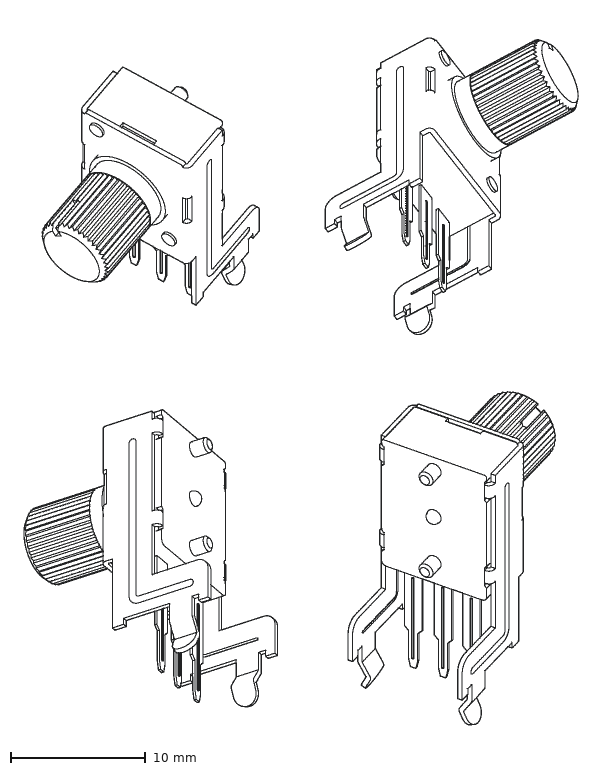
import cadquery as cq
import math


overall_width = 10.0
overall_height = 21.8
top_z = 5.5
lowest_z = top_z - overall_height

sheet = 0.4
bend_radius = 0.5
inner_bend_radius = bend_radius - sheet
rib_height = 0.1
frame_width = overall_width - 2 * rib_height
frame_half = frame_width / 2
inside_half = frame_half - sheet
bend_top_z = 5.3
face_bottom_z = -6.47
face_half = frame_half - bend_radius
face_corner_radius = 0.2
side_back_y = 4.5
window_height = 3.0

collar_diameter = 6.8
collar_length = 0.8
collar_fillet = 0.2

arm_front_y = 1.02
arm_back_y = 9.4
arm_top_z = -8.94
arm_bottom_z = -11.95
arm_corner_radius = 1.0
foot_bottom_z = -12.47
front_foot_end_y = 2.0
back_foot_start_y = 8.57

leg_y = 7.0
leg_width = 1.96
leg_bend_z = -13.45
leg_inward_angle = math.radians(32)
leg_outward_angle = math.radians(26)
leg_inward_length = 1.25

rib_y = 2.8
rib_z = -10.73
rib_top_z = 3.12
rib_back_y = 7.8
rib_bend_radius = 0.55
rib_outer_radius = sheet + rib_height
rib_groove_radius = 0.1

tab_z = 4.0
tab_height = 1.2
tab_grip = 0.2
tab_end_x = inside_half - tab_grip
recess_height = 2.0

housing_back_y = 5.1
housing_bottom_z = -6.23
housing_top_radius = 0.2
housing_bottom_radius = 0.4
notch_width = 3.0
notch_depth = 0.41
peg_diameter = 1.2
peg_z = 4.3
front_peg_x = 3.25
front_peg_places = [(-front_peg_x, peg_z), (front_peg_x, -peg_z)]
front_peg_height = 0.2
back_peg_length = 1.4
back_peg_chamfer = 0.2

shaft_diameter = 6.0
shaft_radius = shaft_diameter / 2
shaft_tip_y = -8.2
shaft_chamfer = 0.5
knurl_start_y = -2.15
knurl_teeth = 40
knurl_depth = 0.2
mark_angle = 36
mark_width = 0.6
mark_start_y = -5.19
mark_floor_radius = shaft_radius - shaft_chamfer
mark_tip_depth = 0.4
mark_tip_floor_radius = 2.0

terminal_pitch = 2.5
middle_terminal_front_y = 3.6
outer_terminal_front_y = 3.7
terminal_thickness = 0.2
terminal_width = 1.5
terminal_shoulder_z = -12.2
terminal_pin_width = 0.8
terminal_taper_z = -15.1
terminal_tip_width = 0.45
terminal_tip_z = -15.87
bead_width = 0.2
bead_height = 0.07
bead_top_z = -7.45
bead_bottom_z = -15.02


def block(x_range, y_range, z_range):
    """Box given by its limits along each axis."""
    size = [high - low for low, high in (x_range, y_range, z_range)]
    corner = cq.Vector(x_range[0], y_range[0], z_range[0])
    return cq.Workplane(cq.Solid.makeBox(*size, corner))


def cylinder_y(diameter, y_range, x=0, z=0):
    """Round bar along Y between two Y levels."""
    length = y_range[1] - y_range[0]
    start = cq.Vector(x, y_range[0], z)
    return cq.Workplane(cq.Solid.makeCylinder(diameter / 2, length, start, cq.Vector(0, 1, 0)))


def mirrored(body):
    """The body together with its mirror image on the other side of the YZ plane."""
    return body.union(body.mirror("YZ"))


def z_span(centre, height):
    return (centre - height / 2, centre + height / 2)




def frame_interior():
    """Space inside the folded sheet, with the inner bend radius on its upright edges."""
    room = block((-inside_half, inside_half), (sheet, housing_back_y - sheet), (face_bottom_z, bend_top_z))
    return room.edges("|Z").fillet(inner_bend_radius)


def folded_sleeve():
    """Sheet folded right round the housing, open at the top and the bottom."""
    outside = block((-frame_half, frame_half), (0, housing_back_y), (face_bottom_z, bend_top_z))
    return outside.edges("|Z").fillet(bend_radius).cut(frame_interior())


def crimp_tab(centre_z):
    """One tab on the +X side, bent in behind the housing."""
    region = block((tab_end_x, frame_half), (side_back_y, housing_back_y), z_span(centre_z, tab_height))
    return folded_sleeve().intersect(region)


def folded_cover():
    """Front face and two side plates, with the crimp tabs and the upright top edge of the face."""
    rear = block((-frame_half, frame_half), (side_back_y, housing_back_y), (face_bottom_z, bend_top_z))
    cover = folded_sleeve().cut(rear)
    for centre_z in (-tab_z, tab_z):
        cover = cover.union(mirrored(crimp_tab(centre_z)))
    face = block((-face_half, face_half), (0, sheet), (face_bottom_z, top_z))
    return cover.union(face.edges("|Y and >Z").fillet(face_corner_radius))


def side_arm():
    """Lower part of the +X side plate: upright strip, rearward arm, two feet and the leg root."""
    leg_front_y = leg_y - leg_width / 2
    leg_back_y = leg_y + leg_width / 2
    outline = [
        (arm_front_y, face_bottom_z),
        (arm_front_y, foot_bottom_z),
        (front_foot_end_y, foot_bottom_z),
        (front_foot_end_y, arm_bottom_z),
        (leg_front_y, arm_bottom_z),
        (leg_front_y, leg_bend_z),
        (leg_back_y, leg_bend_z),
        (leg_back_y, arm_bottom_z),
        (back_foot_start_y, arm_bottom_z),
        (back_foot_start_y, foot_bottom_z),
        (arm_back_y, foot_bottom_z),
    ]
    return (
        cq.Workplane("YZ", origin=(inside_half, 0, 0))
        .polyline(outline)
        .lineTo(arm_back_y, arm_top_z - arm_corner_radius)
        .radiusArc((arm_back_y - arm_corner_radius, arm_top_z), -arm_corner_radius)
        .lineTo(side_back_y, arm_top_z)
        .lineTo(side_back_y, face_bottom_z)
        .close()
        .extrude(sheet)
    )


def snap_leg():
    """Leg on the +X side: bent inward, then outward again, with a round end."""
    half_in = leg_inward_angle / 2
    half_out = (leg_inward_angle - leg_outward_angle) / 2

    def outward(angle, length):
        """Step square to a stretch that leans inward by the angle."""
        return cq.Vector(math.cos(angle), -math.sin(angle)) * length

    def downward(angle, length):
        """Step along a stretch that leans inward by the angle."""
        return cq.Vector(-math.sin(angle), -math.cos(angle)) * length

    upper_pivot = cq.Vector(inside_half, leg_bend_z)
    bend_end = upper_pivot + outward(leg_inward_angle, sheet)
    knee_pivot = bend_end + downward(leg_inward_angle, leg_inward_length)
    knee_inside = knee_pivot - outward(-leg_outward_angle, sheet)
    end_length = (knee_inside.y - lowest_z) / math.cos(leg_outward_angle)
    end_step = downward(-leg_outward_angle, end_length)

    def flat(point):
        return (point.x, point.y)

    strip = (
        cq.Workplane("XZ", origin=(0, leg_y + leg_width / 2, 0))
        .moveTo(*flat(upper_pivot))
        .lineTo(*flat(upper_pivot + outward(0, sheet)))
        .threePointArc(
            flat(upper_pivot + outward(half_in, sheet)),
            flat(bend_end),
        )
        .lineTo(*flat(knee_pivot))
        .lineTo(*flat(knee_pivot + end_step))
        .lineTo(*flat(knee_inside + end_step))
        .lineTo(*flat(knee_inside))
        .threePointArc(
            flat(knee_pivot - outward(half_out, sheet)),
            flat(knee_pivot - outward(leg_inward_angle, sheet)),
        )
        .close()
        .extrude(leg_width)
    )

    end_point = knee_inside + end_step
    end_plane = cq.Plane(
        origin=(end_point.x, leg_y, end_point.y),
        xDir=(0, 1, 0),
        normal=(math.cos(leg_outward_angle), 0, math.sin(leg_outward_angle)),
    )
    end_radius = leg_width / 2
    end_corners = cq.Workplane(end_plane).rect(leg_width, leg_width).extrude(sheet, both=True)
    round_end = cq.Workplane(end_plane).center(0, end_radius).circle(end_radius).extrude(sheet, both=True)
    return strip.cut(end_corners.cut(round_end))


def rib_bar(radius):
    """L-shaped round bar with ball ends, centred on the inner face of the +X side plate."""
    top_end = (rib_y, rib_top_z)
    back_end = (rib_back_y, rib_z)
    bend_point = rib_bend_radius * (1 - math.sqrt(0.5))
    path = (
        cq.Workplane("YZ", origin=(inside_half, 0, 0))
        .moveTo(*top_end)
        .lineTo(rib_y, rib_z + rib_bend_radius)
        .threePointArc((rib_y + bend_point, rib_z + bend_point), (rib_y + rib_bend_radius, rib_z))
        .lineTo(*back_end)
    )
    bar = cq.Workplane("XY", origin=(inside_half, *top_end)).circle(radius).sweep(path)
    for end in (top_end, back_end):
        bar = bar.union(cq.Workplane("XY", origin=(inside_half, *end)).sphere(radius))
    return bar


def side_rib():
    """Raised part of the rib, rooted halfway through the +X side plate."""
    outer_side = block((inside_half + sheet / 2, overall_width), (0, arm_back_y), (foot_bottom_z, top_z))
    return rib_bar(rib_outer_radius).intersect(outer_side)


def collar():
    """Collar in front of the face, with a hollow fillet at its root."""
    radius = collar_diameter / 2
    fillet_middle = collar_fillet * (1 - math.sqrt(0.5))
    return (
        cq.Workplane("XY")
        .moveTo(0, sheet)
        .lineTo(radius + collar_fillet, sheet)
        .lineTo(radius + collar_fillet, 0)
        .threePointArc((radius + fillet_middle, -fillet_middle), (radius, -collar_fillet))
        .lineTo(radius, -collar_length)
        .lineTo(0, -collar_length)
        .close()
        .revolve(360, (0, 0, 0), (0, 1, 0))
    )


def make_frame():
    side = side_arm().union(snap_leg()).union(side_rib())
    body = folded_cover().union(mirrored(side)).union(collar())
    body = body.cut(mirrored(rib_bar(rib_groove_radius)))
    window = block((face_half, frame_half), (0, bend_radius), z_span(0, window_height))
    body = body.cut(mirrored(window))
    body = body.cut(cylinder_y(shaft_diameter, (-collar_length, sheet)))
    for x, z in front_peg_places:
        body = body.cut(cylinder_y(peg_diameter, (0, sheet), x, z))
    return body




def tab_recess(centre_z):
    """Recess for one +X crimp tab, with sloping ends and a rounded front edge."""
    outer_half = recess_height / 2
    inner_half = outer_half - tab_grip
    prism = (
        cq.Workplane("XZ", origin=(0, housing_back_y, 0))
        .polyline(
            [
                (tab_end_x, centre_z - inner_half),
                (inside_half, centre_z - outer_half),
                (inside_half, centre_z + outer_half),
                (tab_end_x, centre_z + inner_half),
            ]
        )
        .close()
        .extrude(bend_radius)
    )
    return prism.cut(frame_interior())


def make_housing():
    body = block((-inside_half, inside_half), (sheet, housing_back_y), (housing_bottom_z, top_z))
    body = body.edges("|Y and >Z").fillet(housing_top_radius)
    body = body.edges("|Y and <Z").fillet(housing_bottom_radius)
    body = body.faces("<Y").edges().fillet(inner_bend_radius)
    notch_half = notch_width / 2
    notch = block((-notch_half, notch_half), (sheet, sheet + notch_depth), (top_z - notch_depth, top_z))
    body = body.cut(notch)
    for centre_z in (-tab_z, tab_z):
        body = body.cut(mirrored(tab_recess(centre_z)))
    back_peg_end_y = housing_back_y + back_peg_length
    for centre_z in (-peg_z, peg_z):
        back_peg = cylinder_y(peg_diameter, (housing_back_y - sheet, back_peg_end_y), z=centre_z)
        body = body.union(back_peg.faces(">Y").chamfer(back_peg_chamfer))
    for x, z in front_peg_places:
        body = body.union(cylinder_y(peg_diameter, (-front_peg_height, 2 * sheet), x, z))
    dome = cq.Workplane("XY", origin=(0, housing_back_y, 0)).sphere(peg_diameter / 2)
    return body.union(dome)




def knurled_bar():
    """Bar with V-shaped teeth, from the start of the knurl to the tip."""
    root_radius = shaft_radius - knurl_depth
    step = math.pi / knurl_teeth
    star = []
    for index in range(2 * knurl_teeth):
        radius = shaft_radius if index % 2 else root_radius
        star.append((radius * math.cos(index * step), radius * math.sin(index * step)))
    plane = cq.Workplane("XZ", origin=(0, knurl_start_y, 0))
    return plane.polyline(star).close().extrude(knurl_start_y - shaft_tip_y)


def mark_slot():
    """Position mark: a slot in the knurl with a deeper step at the tip."""
    half = mark_width / 2
    long_slot = block((-half, half), (shaft_tip_y, mark_start_y), (0, shaft_diameter))
    long_slot = long_slot.cut(cylinder_y(2 * mark_floor_radius, (shaft_tip_y, mark_start_y)))
    tip_step = block(
        (-half, half),
        (shaft_tip_y, shaft_tip_y + mark_tip_depth),
        (mark_tip_floor_radius, shaft_diameter),
    )
    return long_slot.union(tip_step).rotate((0, 0, 0), (0, 1, 0), -mark_angle)


def make_shaft():
    outside = cylinder_y(shaft_diameter, (shaft_tip_y, sheet)).faces("<Y").chamfer(shaft_chamfer)
    smooth = cylinder_y(shaft_diameter, (knurl_start_y, sheet))
    return smooth.union(knurled_bar().intersect(outside)).cut(mark_slot())




def bead(x, surface_y):
    """Long bead with round ends, standing off a Y level toward +Y."""
    centre_z = (bead_top_z + bead_bottom_z) / 2
    start = cq.Workplane("XZ", origin=(x, surface_y + bead_height, centre_z))
    return start.slot2D(bead_top_z - bead_bottom_z, bead_width, 90).extrude(bead_height)


def make_terminal(x, front_y):
    """Flat pin below the housing, narrowed toward its tip, with a bead pressed through to the back."""
    half = terminal_width / 2
    pin_half = terminal_pin_width / 2
    tip_half = terminal_tip_width / 2
    pin_top_z = terminal_shoulder_z - (half - pin_half)
    right_edge = [
        (half, housing_bottom_z),
        (half, terminal_shoulder_z),
        (pin_half, pin_top_z),
        (pin_half, terminal_taper_z),
        (tip_half, terminal_tip_z),
    ]
    left_edge = [(-across, z) for across, z in reversed(right_edge)]
    back_y = front_y + terminal_thickness
    blade = cq.Workplane("XZ", origin=(x, back_y, 0)).polyline(right_edge + left_edge).close()
    blade = blade.extrude(terminal_thickness)
    return blade.cut(bead(x, front_y)).union(bead(x, back_y))


frame = make_frame()
housing = make_housing()
shaft = make_shaft()
terminals = []
for place in (-1, 0, 1):
    terminal_front_y = outer_terminal_front_y if place else middle_terminal_front_y
    terminals.append(make_terminal(place * terminal_pitch, terminal_front_y))

bodies = [frame, housing, shaft, *terminals]
result = cq.Compound.makeCompound([body.solids().val() for body in bodies])